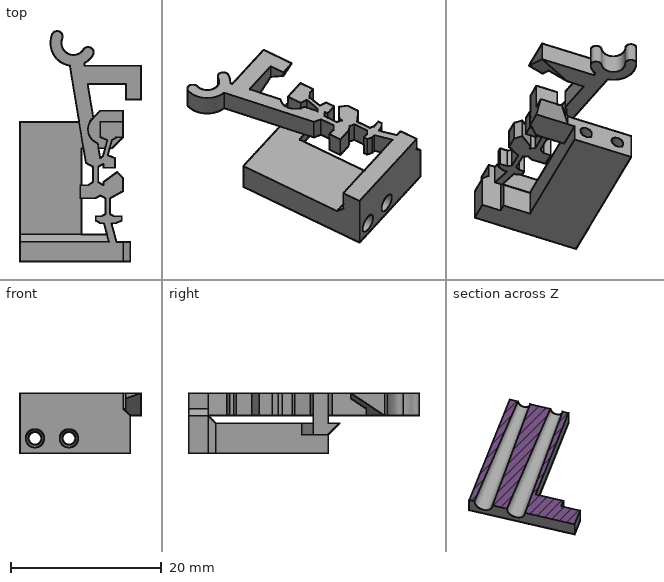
import cadquery as cq
import math

wall_width = 14.64
part_height = 8.0
wall_thickness = 2.59
wall_relief = 0.95
plate_width = 8.19
plate_length = 18.5
plate_height = 4.0
arm_bottom = 5.0
arm_height = part_height - arm_bottom
wall_foot = arm_bottom - plate_height
wall_foot_end = 12.0

ledge_right = wall_width - wall_relief
ledge_back = 15.0
ledge_thickness = 1.5
ledge_overhang = 1.5

hole_first_x = 2.0
hole_pitch = 4.5
hole_count = 2
hole_z = 2.0
hole_front_diameter = 2.46
hole_rear_diameter = 1.65

head_left = 10.67
head_front = 16.47
neck_left = (11.6, 16.1)
neck_right = (12.19, 16.1)
strip_foot_left = (11.0, 13.98)
strip_foot_right = (11.67, 14.08)

arm_left_bottom = (8.74, 13.06)
arm_left_top = (6.61, 25.95)
arm_right_bottom = (10.65, 13.71)
bar_inner_corner = (9.0, 23.49)
clearance_center = (10.95, 17.5)
clearance_radius = 1.93

bar_top = arm_left_top[1]
bar_right = 16.07
finger_left = 14.06
finger_tip = 21.46
bar_neck_x = 8.57
undercut_start_x = 11.0
undercut_rise = 0.354
undercut_drop = arm_height / (bar_top - finger_tip)

ring_center = (7.1, 28.96)
ring_inner_radius = 1.58
ring_outer_radius = 3.06
ring_start_angle = -33.0
ring_end_angle = 158.5

upper_hinge_left = 9.66
upper_hinge_right = 10.40
upper_hinge_top = 12.56
upper_hinge_bottom = 10.53
lower_hinge_left = 11.33
lower_hinge_right = 11.96
lower_hinge_top = 8.37
lower_hinge_bottom = 6.30
notch_x = 11.06
notch_top = 12.9
tab_right = 12.61
tab_bottom = 12.42
block_left = 8.0
block_top = 10.12
block_shoulder_x = 9.05
block_notch_top = 8.74
block_right_bottom = 9.32
block_right_top = 11.04
peak_y = 11.87
peak_x = 12.88
cross_left = 10.03
cross_right = 13.53
cross_top = 6.0
cross_shoulder = 5.43
cross_bottom = 5.06
cross_top_left = 10.79
cross_top_right = 12.51
cross_bottom_right = 12.7
root_left = 11.13
root_width = 1.02
root_shift = 0.67


def mechanism_plate(points):
    """Extrude a closed outline through the height of the mechanism."""
    return cq.Workplane("XY").workplane(offset=arm_bottom).polyline(points).close().extrude(arm_height)


def make_box(x_range, y_range, z_range):
    size = [end - start for start, end in (x_range, y_range, z_range)]
    corner = (x_range[0], y_range[0], z_range[0])
    return cq.Workplane("XY").box(*size, centered=False).translate(corner)


def make_plate():
    return make_box((0, plate_width), (0, plate_length), (0, plate_height))


def make_wall():
    """End wall with its stepped corner and the bevelled foot that meets the plate."""
    outline = [
        (0, 0),
        (wall_width, 0),
        (wall_width, arm_bottom),
        (ledge_right, arm_bottom + wall_relief),
        (ledge_right, part_height),
        (0, part_height),
    ]
    wall = cq.Workplane("XZ").polyline(outline).close().extrude(-wall_thickness)
    foot_outline = [
        (0, 0),
        (wall_thickness + wall_foot, 0),
        (wall_thickness + wall_foot, plate_height),
        (wall_thickness, arm_bottom),
        (0, arm_bottom),
    ]
    foot = cq.Workplane("YZ").polyline(foot_outline).close().extrude(wall_foot_end)
    return wall.union(foot)


def make_ledge():
    """Shelf carrying the head, with bevelled corners and an undercut front."""
    ledge_bottom = plate_height - ledge_thickness
    ledge_front = plate_length + ledge_overhang
    corner_bevel = head_front - ledge_back
    section_outline = [
        (ledge_back, ledge_bottom),
        (plate_length, ledge_bottom),
        (ledge_front, plate_height),
        (ledge_back, plate_height),
    ]
    plan_outline = [
        (0, ledge_back),
        (ledge_right - corner_bevel, ledge_back),
        (ledge_right, head_front),
        (ledge_right, ledge_front),
        (head_left, ledge_front),
        (head_left - ledge_overhang, plate_length),
        (0, plate_length),
    ]
    profile = cq.Workplane("YZ").polyline(section_outline).close().extrude(ledge_right)
    footprint = cq.Workplane("XY").polyline(plan_outline).close().extrude(plate_height)
    return profile.intersect(footprint)


def make_holes():
    """Holes along Y, narrowing from the wall face to the far end of the plate."""
    holes = cq.Workplane("XY")
    for index in range(hole_count):
        mouth = cq.Vector(hole_first_x + index * hole_pitch, 0, hole_z)
        cone = cq.Solid.makeCone(
            hole_front_diameter / 2, hole_rear_diameter / 2, plate_length, mouth, cq.Vector(0, 1, 0)
        )
        holes.add(cone)
    return holes


def make_head():
    """Fixed head and the slanted strip joining it to the tab."""
    head = make_box((head_left, ledge_right), (head_front, plate_length), (plate_height, part_height))
    strip = mechanism_plate([
        (head_left, head_front),
        neck_left,
        strip_foot_left,
        strip_foot_right,
        neck_right,
        (peak_x, head_front),
    ])
    return head.union(strip)


def make_arm():
    """Slanted arm, finger bar and the tab beside the upper hinge; its top runs into the ring."""
    ring_middle_bottom = ring_center[1] - (ring_inner_radius + ring_outer_radius) / 2
    arm = mechanism_plate([
        arm_left_bottom,
        (upper_hinge_left, upper_hinge_top),
        (upper_hinge_right, upper_hinge_top),
        (notch_x, notch_top),
        (notch_x, tab_bottom),
        (tab_right, tab_bottom),
        (tab_right, arm_right_bottom[1]),
        strip_foot_right,
        strip_foot_left,
        arm_right_bottom,
        bar_inner_corner,
        (finger_left, bar_inner_corner[1]),
        (finger_left, finger_tip),
        (bar_right, finger_tip),
        (bar_right, bar_top),
        (bar_neck_x, bar_top),
        (bar_neck_x, ring_middle_bottom),
        (ring_center[0], ring_middle_bottom),
        arm_left_top,
    ])
    clearance = (
        cq.Workplane("XY").workplane(offset=arm_bottom)
        .center(*clearance_center).circle(clearance_radius).extrude(arm_height)
    )
    return arm.cut(clearance).cut(make_undercut())


def make_undercut():
    """Wedge below the sloping underside of the finger bar."""
    def slope_height(x):
        return part_height - undercut_rise * (bar_right - x)

    def section(x):
        """Triangle under the slope at one X position, extended to the mechanism underside."""
        y_end = finger_tip + (slope_height(x) - arm_bottom) / undercut_drop
        return cq.Wire.makePolygon(
            [
                cq.Vector(x, finger_tip, arm_bottom),
                cq.Vector(x, y_end, arm_bottom),
                cq.Vector(x, finger_tip, slope_height(x)),
            ],
            close=True,
        )

    wedge = cq.Solid.makeLoft([section(undercut_start_x), section(bar_right)], True)
    return cq.Workplane("XY").add(wedge)


def ring_point(radius, angle):
    return (
        ring_center[0] + radius * math.cos(math.radians(angle)),
        ring_center[1] + radius * math.sin(math.radians(angle)),
    )


def make_ring():
    """Open ring with round ends, its gap facing up and to the right."""
    middle_radius = (ring_inner_radius + ring_outer_radius) / 2
    cap_radius = (ring_outer_radius - ring_inner_radius) / 2
    low_angle = ring_end_angle - 360
    middle_angle = (ring_start_angle + low_angle) / 2
    band = (
        cq.Workplane("XY").workplane(offset=arm_bottom)
        .moveTo(*ring_point(ring_outer_radius, ring_start_angle))
        .threePointArc(
            ring_point(ring_outer_radius, middle_angle), ring_point(ring_outer_radius, low_angle))
        .lineTo(*ring_point(ring_inner_radius, low_angle))
        .threePointArc(
            ring_point(ring_inner_radius, middle_angle), ring_point(ring_inner_radius, ring_start_angle))
        .close().extrude(arm_height)
    )
    caps = (
        cq.Workplane("XY").workplane(offset=arm_bottom)
        .pushPoints([ring_point(middle_radius, ring_start_angle), ring_point(middle_radius, low_angle)])
        .circle(cap_radius).extrude(arm_height)
    )
    return band.union(caps)


def make_flexure():
    """Two hinge strips, the block between them, the cross piece and the root strip."""
    return mechanism_plate([
        (upper_hinge_left, upper_hinge_top),
        (upper_hinge_left, upper_hinge_bottom),
        (block_shoulder_x, block_top),
        (block_left, block_top),
        (block_left, lower_hinge_top),
        (cross_left, lower_hinge_top),
        (head_left, block_notch_top),
        (lower_hinge_left, lower_hinge_top),
        (lower_hinge_left, lower_hinge_bottom),
        (cross_top_left, cross_top),
        (cross_left, cross_top),
        (cross_left, cross_shoulder),
        (head_left, cross_bottom),
        (root_left, cross_bottom),
        (root_left + root_shift, wall_thickness),
        (root_left + root_width + root_shift, wall_thickness),
        (root_left + root_width, cross_bottom),
        (cross_bottom_right, cross_bottom),
        (cross_right, cross_shoulder),
        (cross_right, cross_top),
        (cross_top_right, cross_top),
        (lower_hinge_right, lower_hinge_bottom),
        (lower_hinge_right, lower_hinge_top),
        (ledge_right, block_right_bottom),
        (ledge_right, block_right_top),
        (peak_x, peak_y),
        (notch_x, upper_hinge_bottom),
        (notch_x, block_top),
        (upper_hinge_right, upper_hinge_bottom),
        (upper_hinge_right, upper_hinge_top),
    ])


frame = make_plate().union(make_wall()).union(make_ledge()).cut(make_holes().combine())
mechanism = make_arm().union(make_ring()).union(make_flexure()).union(make_head())
result = frame.union(mechanism)